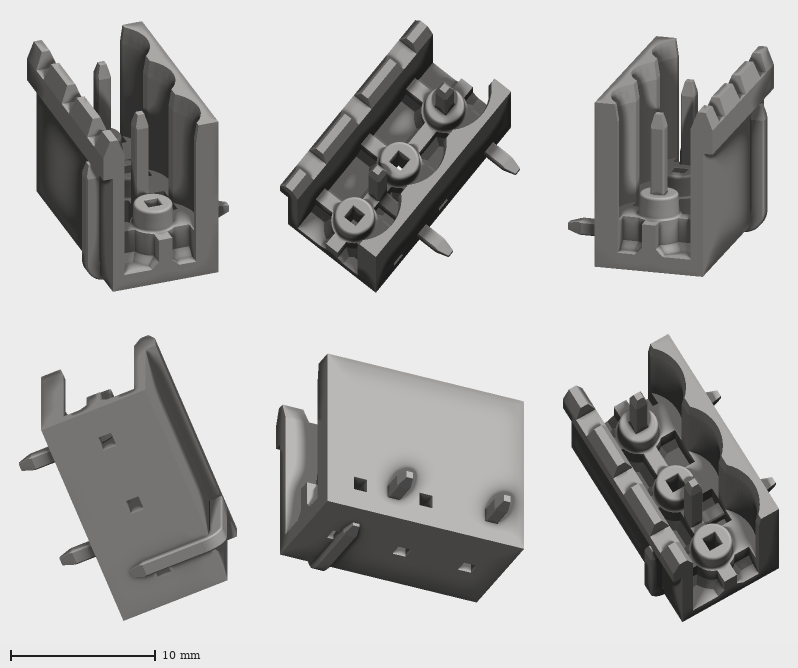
import cadquery as cq
import math


WIDTH = 15.0
HEIGHT = 12.0
STATIONS = 3
PITCH = WIDTH / STATIONS
STATION_XS = [(i - (STATIONS - 1) / 2) * PITCH for i in range(STATIONS)]
BODY_FRONT = -3.9
BODY_BACK = 3.9
TROUGH_FRONT = -3.03
TROUGH_BACK = 2.26
FLOOR_TOP = 1.17

LIP_OVERHANG = 0.7
LIP_HEIGHT = 3.0
LIP_BEVEL_HEIGHT = 1.26
LIP_BEVEL_DEPTH = 0.5
NOTCH_FLOOR_WIDTH = 1.4
NOTCH_TOP_WIDTH = 1.82

LEAD_HEIGHT = LIP_BEVEL_HEIGHT
LEAD_DEPTH = 0.18
SCALLOP_RADIUS = 2.78
SCALLOP_CENTRE_Y = 0.39

RIB_TOP = 3.42
RIB_WIDTH = 1.0
REAR_RIB_WIDTH = 2.3
FOOT_CHAMFER = 0.51
BOSS_RADIUS = 1.6
BOSS_TOP = 5.01
BOSS_FILLET = 0.18
BOSS_RIM_RADIUS = 1.36
BOSS_RIM_FILLET = 0.2
SEAT_LEAD_IN = 0.05

PIN_SIZE = 1.0
PIN_TOP = 10.77
TAIL_AXIS_Z = 2.0
TAIL_END = 6.5
PIN_EDGE_CHAMFER = 0.1
BEND_OUTER_RADIUS = 1.5
BEND_INNER_RADIUS = 0.7
TIP_LENGTH = 1.0
TIP_SIZE = 0.5
SHIFTED_PIN_X = 2.43
OUTSIDE_PIN_X = 4.48

PIN_SHIFTS = [
    (STATION_XS[0], 0, 0),
    (SHIFTED_PIN_X, 0, 0),
    (OUTSIDE_PIN_X, BODY_FRONT - PIN_SIZE / 2, -TAIL_AXIS_Z),
]


def box(x0, x1, y0, y1, z0, z1):
    """Box given by its limits along each axis."""
    return cq.Workplane("XY").box(x1 - x0, y1 - y0, z1 - z0, centered=False).translate((x0, y0, z0))


def shell():
    """U-shaped channel, open at both X ends, with a bevelled lip on the front wall."""
    lip_front = BODY_FRONT - LIP_OVERHANG
    bevel_base = HEIGHT - LIP_BEVEL_HEIGHT
    outline = [
        (BODY_BACK, 0),
        (BODY_BACK, HEIGHT),
        (TROUGH_BACK + LEAD_DEPTH, HEIGHT),
        (TROUGH_BACK, HEIGHT - LEAD_HEIGHT),
        (TROUGH_BACK, FLOOR_TOP),
        (TROUGH_FRONT, FLOOR_TOP),
        (TROUGH_FRONT, bevel_base),
        (TROUGH_FRONT - LIP_BEVEL_DEPTH, HEIGHT),
        (lip_front + LIP_BEVEL_DEPTH, HEIGHT),
        (lip_front, bevel_base),
        (lip_front, HEIGHT - LIP_HEIGHT),
        (BODY_FRONT, HEIGHT - LIP_HEIGHT),
        (BODY_FRONT, 0),
    ]
    return cq.Workplane("YZ").polyline(outline).close().extrude(WIDTH / 2, both=True)


def lip_notch(x):
    """Tapered notch through the bevelled part of the lip."""
    bottom = HEIGHT - LIP_BEVEL_HEIGHT
    outline = [
        (x - NOTCH_FLOOR_WIDTH / 2, bottom),
        (x + NOTCH_FLOOR_WIDTH / 2, bottom),
        (x + NOTCH_TOP_WIDTH / 2, HEIGHT),
        (x - NOTCH_TOP_WIDTH / 2, HEIGHT),
    ]
    notch = cq.Workplane("XZ", origin=(0, TROUGH_FRONT, 0)).polyline(outline).close()
    return notch.extrude(TROUGH_FRONT - BODY_FRONT + LIP_OVERHANG)


def scallop(x):
    """Round recess in the back wall above the ribs, flaring outward near the top."""
    outline = [
        (0, RIB_TOP),
        (SCALLOP_RADIUS, RIB_TOP),
        (SCALLOP_RADIUS, HEIGHT - LEAD_HEIGHT),
        (SCALLOP_RADIUS + LEAD_DEPTH, HEIGHT),
        (0, HEIGHT),
    ]
    round_cut = cq.Workplane("XZ").polyline(outline).close().revolve(360, (0, 0), (0, 1))
    behind_trough = box(-PITCH, PITCH, TROUGH_BACK - SCALLOP_CENTRE_Y, BODY_BACK, 0, HEIGHT)
    return round_cut.intersect(behind_trough).translate((x, SCALLOP_CENTRE_Y, 0))


def rib_outline(plane, width):
    """Rib cross-section with chamfered feet, standing on the trough floor."""
    half = width / 2
    foot = half + FOOT_CHAMFER
    outline = [
        (-foot, 0),
        (-foot, FLOOR_TOP),
        (-half, FLOOR_TOP + FOOT_CHAMFER),
        (-half, RIB_TOP),
        (half, RIB_TOP),
        (half, FLOOR_TOP + FOOT_CHAMFER),
        (foot, FLOOR_TOP),
        (foot, 0),
    ]
    return cq.Workplane(plane).polyline(outline).close()


def long_rib():
    """Rib joining all the bosses along the whole housing."""
    return rib_outline("YZ", RIB_WIDTH).extrude(WIDTH / 2, both=True)


def cross_ribs(x):
    """Narrow rib to the front wall and wide rib to the back wall."""
    front = rib_outline("XZ", RIB_WIDTH).extrude(-TROUGH_FRONT)
    rear = rib_outline("XZ", REAR_RIB_WIDTH).extrude(-TROUGH_BACK)
    return front.union(rear).translate((x, 0, 0))


def boss(x):
    """Round socket boss with a conical foot, a filleted step and a rounded rim."""
    step_radius = BOSS_RADIUS - BOSS_FILLET
    arc_offset = math.sqrt(0.5)
    rim_centre = (BOSS_RIM_RADIUS - BOSS_RIM_FILLET, BOSS_TOP - BOSS_RIM_FILLET)
    profile = (
        cq.Workplane("XZ")
        .moveTo(0, 0)
        .lineTo(BOSS_RADIUS + FOOT_CHAMFER, 0)
        .lineTo(BOSS_RADIUS + FOOT_CHAMFER, FLOOR_TOP)
        .lineTo(BOSS_RADIUS, FLOOR_TOP + FOOT_CHAMFER)
        .lineTo(BOSS_RADIUS, RIB_TOP)
        .threePointArc(
            (BOSS_RADIUS - BOSS_FILLET * arc_offset, RIB_TOP + BOSS_FILLET * (1 - arc_offset)),
            (step_radius, RIB_TOP + BOSS_FILLET),
        )
        .lineTo(BOSS_RIM_RADIUS, rim_centre[1])
        .threePointArc(
            (rim_centre[0] + BOSS_RIM_FILLET * arc_offset, rim_centre[1] + BOSS_RIM_FILLET * arc_offset),
            (rim_centre[0], BOSS_TOP),
        )
        .lineTo(0, BOSS_TOP)
        .close()
    )
    return profile.revolve(360, (0, 0), (0, 1)).translate((x, 0, 0))


def pin_seat(x):
    """Square passages through the floor, with a chamfered mouth, and through the back wall for the tail."""
    half = PIN_SIZE / 2
    mouth_size = PIN_SIZE + 2 * SEAT_LEAD_IN
    upright = box(x - half, x + half, -half, half, 0, BOSS_TOP)
    mouth = cq.Workplane("XY", origin=(x, 0, BOSS_TOP)).rect(mouth_size, mouth_size)
    mouth = mouth.workplane(offset=-SEAT_LEAD_IN).rect(PIN_SIZE, PIN_SIZE).loft()
    tail = box(x - half, x + half, 0, BODY_BACK, TAIL_AXIS_Z - half, TAIL_AXIS_Z + half)
    return upright.union(mouth).union(tail)


def tip_trim():
    """Material removed to taper an upward-pointing end whose tip lies at Z = 0."""
    blank = cq.Workplane("XY").rect(2 * PIN_SIZE, 2 * PIN_SIZE).extrude(-TIP_LENGTH)
    point = cq.Workplane("XY").rect(TIP_SIZE, TIP_SIZE)
    point = point.workplane(offset=-TIP_LENGTH).rect(PIN_SIZE, PIN_SIZE).loft()
    return blank.cut(point)


def bent_pin():
    """L-shaped square pin with an upright leg, a tail toward +Y and tapered tips."""
    half = PIN_SIZE / 2
    outline = [
        (-half, TAIL_AXIS_Z - half),
        (TAIL_END, TAIL_AXIS_Z - half),
        (TAIL_END, TAIL_AXIS_Z + half),
        (half, TAIL_AXIS_Z + half),
        (half, PIN_TOP),
        (-half, PIN_TOP),
    ]
    pin = cq.Workplane("YZ").polyline(outline).close().extrude(half, both=True)
    outer_corner = cq.selectors.NearestToPointSelector((0, -half, TAIL_AXIS_Z - half))
    pin = pin.edges(outer_corner).fillet(BEND_OUTER_RADIUS)
    inner_corner = cq.selectors.NearestToPointSelector((0, half, TAIL_AXIS_Z + half))
    pin = pin.edges(inner_corner).fillet(BEND_INNER_RADIUS)
    pin = pin.faces("<X or >X").edges().chamfer(PIN_EDGE_CHAMFER)
    top_trim = tip_trim().translate((0, 0, PIN_TOP))
    tail_trim = tip_trim().rotate((0, 0, 0), (1, 0, 0), -90).translate((0, TAIL_END, TAIL_AXIS_Z))
    return pin.cut(top_trim).cut(tail_trim)


def make_housing(pins):
    """Complete housing, relieved wherever a pin runs into it."""
    body = shell().union(long_rib())
    for x in STATION_XS:
        body = body.union(cross_ribs(x)).union(boss(x))
    for x in STATION_XS:
        body = body.cut(lip_notch(x)).cut(scallop(x)).cut(pin_seat(x))
    for pin in pins:
        body = body.cut(pin)
    return body


pins = [bent_pin().translate(shift) for shift in PIN_SHIFTS]
housing = make_housing(pins)

result = cq.Compound.makeCompound([housing.val(), *[pin.val() for pin in pins]])